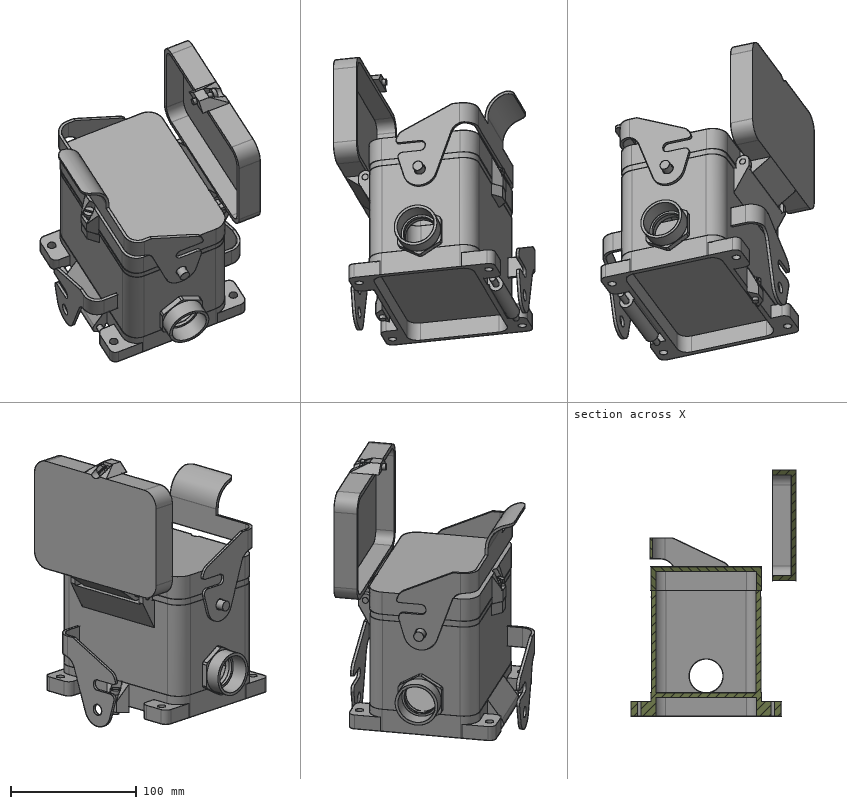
import cadquery as cq
import math

COVER_LENGTH = 133.3
SHELL_LENGTH = 133.5
COVER_WIDTH = 90.5
SHELL_WIDTH = 89.7
CORNER_RADIUS = 13.0
WALL = 4.0

FOOT_BOTTOM = 13.8
COVER_HEIGHT = 19.0
SHELL_BOTTOM = FOOT_BOTTOM + COVER_HEIGHT
RIM_Z = 114.5
LIP_HEIGHT = 5.0
LIP_INSET = 0.2
SHELL_TOP = RIM_Z - LIP_HEIGHT
LEVER_PIVOT_Z = 101.8

PIVOT_OUT = 7.2
PIVOT_DROP = 0.5
KNUCKLE_RADIUS = 5.7
KNUCKLE_CLEARANCE = 0.5
HINGE_PIN_DIAMETER = 5.0
HINGE_PIN_LENGTH = 78.8
LUG_LENGTH = 54.7
BRACKET_THICKNESS = 4.4
BRACKET_FOOT_Z = 86.2
PIVOT_Y = COVER_WIDTH / 2 + PIVOT_OUT
PIVOT_Z = RIM_Z - PIVOT_DROP
POCKET_Z = PIVOT_Z - KNUCKLE_RADIUS - KNUCKLE_CLEARANCE

BOSS_WIDTH = 24.5
BOSS_FACE_WIDTH = 10.0
BOSS_DEPTH = 7.2
BOSS_SLOPE_LENGTH = 14.9
SCREW_OUT = 2.6
SCREW_BORE_DIAMETER = 9.9
SCREW_BORE_DEPTH = 14.9
SCREW_HEAD_DIAMETER = 9.0
SCREW_HEAD_TOP = 6.5
SCREW_HEAD_HEIGHT = 3.3
SCREW_SHANK_DIAMETER = 4.4
SCREW_SLOT_ANGLE = 45
SCREW_SLOT_WIDTH = 1.3
SCREW_SLOT_DEPTH = 2.2
SCREW_TIP_DIAMETER = 5.0
SCREW_TIP_LENGTH = 3.0
CATCH_WIDTH = 26.3
CATCH_HEIGHT = 9.6

PAD_LENGTH = 27.1
PAD_INNER_Y = 33.5
PAD_REACH = 60.2
PAD_HEIGHT = 12.0
PAD_CORNER_RADIUS = 5.5
PAD_HOLE_DIAMETER = 6.5
PAD_HOLE_X = 55.4
PAD_HOLE_Y = 53.5

GLAND_Z = 46.2
GLAND_FLATS = 35.7
GLAND_CORNER_DIAMETER = 40.0
GLAND_FLANGE = 4.5
GLAND_TUBE_DIAMETER = 35.0
GLAND_BORE_DIAMETER = 30.5
GLAND_LEDGE = 2.8
ENTRY_DIAMETER = 27.0
GLAND_SPAN = 167.0

LEVER_SPAN = 138.5
LEVER_FRONT = 45.0
LEVER_THICKNESS = 2.5
LEVER_BEND_RADIUS = 12.3
LEVER_LOBE_RADIUS = 14.0
FRONT_TAPER = math.radians(19.5)
JAW_TAPER = math.radians(16.5)
LEVER_HOLE_DIAMETER = 9.0
LEVER_PIN_DIAMETER = 8.0
LEVER_PIN_SPAN = 152.0
LEVER_TOP = 54.7
CROSSBAR_BOTTOM = 37.9
SLOT_TOP = 25.2
SLOT_BOTTOM = 16.5
SLOT_DEPTH = 4.4
NOSE_TIP_OUT = 20.5
NOSE_OUT = 17.5
NOSE_HEIGHT = 33.7
SHOULDER = 26.7
CROSSBAR_FILLET = 11.8
NOSE_RADIUS = 9.9
NOSE_TIP_RADIUS = 2.2
JAW_RADIUS = 4.0
SLOT_RADIUS = 4.2
HANDLE_WIDTH = 50.3
HANDLE_RISE = 5.3
HANDLE_RADIUS = 20.0
HANDLE_CORNER_RADIUS = 7.0
LOWER_LEVER_Z = LEVER_LOBE_RADIUS


def rod_x(diameter, length, y=0.0, z=0.0):
    """Round bar along X, centred on X = 0."""
    return cq.Workplane("YZ", origin=(-length / 2, y, z)).circle(diameter / 2).extrude(length)


def rod_z(diameter, y, bottom, top):
    """Round bar along Z at X = 0."""
    return cq.Workplane("XY", origin=(0, y, bottom)).circle(diameter / 2).extrude(top - bottom)


def slab_x(points, length):
    """Closed (y, z) polygon made into a slab centred on X = 0."""
    return cq.Workplane("YZ", origin=(-length / 2, 0, 0)).polyline(points).close().extrude(length)


def rounded_block(length, width, radius, bottom, top):
    """Upright block with rounded vertical edges."""
    block = cq.Workplane("XY", origin=(0, 0, bottom)).rect(length, width).extrude(top - bottom)
    return block.edges("|Z").fillet(radius)


def inner_block(length, width, bottom, top):
    """Cavity one wall thickness inside a plan of the given size."""
    return rounded_block(length - 2 * WALL, width - 2 * WALL, CORNER_RADIUS - WALL, bottom, top)


def boss_prism(wall_y, width, bottom, top):
    """Upright boss on the -Y wall with slanted flanks."""
    outer_y = wall_y - BOSS_DEPTH
    inner_y = wall_y + WALL / 2
    points = [
        (-width / 2, inner_y), (-width / 2, wall_y), (-BOSS_FACE_WIDTH / 2, outer_y),
        (BOSS_FACE_WIDTH / 2, outer_y), (width / 2, wall_y), (width / 2, inner_y),
    ]
    return cq.Workplane("XY", origin=(0, 0, bottom)).polyline(points).close().extrude(top - bottom)


def hinge_lug():
    """Lug that tapers from the wall to the knuckle, with the hinge pin through it."""
    wall_y = COVER_WIDTH / 2
    reach = math.hypot(PIVOT_OUT, COVER_HEIGHT + PIVOT_DROP)
    tangent_angle = (
        math.atan2(COVER_HEIGHT + PIVOT_DROP, -PIVOT_OUT) - math.acos(KNUCKLE_RADIUS / reach)
    )
    tangent_point = (
        PIVOT_Y + KNUCKLE_RADIUS * math.cos(tangent_angle),
        -PIVOT_DROP + KNUCKLE_RADIUS * math.sin(tangent_angle),
    )
    web = slab_x(
        [
            (wall_y - WALL / 2, 0), (wall_y - WALL / 2, COVER_HEIGHT), (wall_y, COVER_HEIGHT),
            tangent_point, (PIVOT_Y, -PIVOT_DROP), (wall_y, 0),
        ],
        LUG_LENGTH,
    )
    knuckle = rod_x(2 * KNUCKLE_RADIUS, LUG_LENGTH, PIVOT_Y, -PIVOT_DROP)
    pin = rod_x(HINGE_PIN_DIAMETER, HINGE_PIN_LENGTH, PIVOT_Y, -PIVOT_DROP)
    return web.union(knuckle).union(pin)


def latch_boss():
    """Sloped boss, the open bore sunk into it, and a captive screw whose tip stands out below."""
    wall_y = -COVER_WIDTH / 2
    screw_y = wall_y - SCREW_OUT
    bore_bottom = COVER_HEIGHT - SCREW_BORE_DEPTH
    head_top = COVER_HEIGHT - SCREW_HEAD_TOP
    boss = boss_prism(wall_y, BOSS_WIDTH, -LIP_HEIGHT, COVER_HEIGHT)
    below_rim = cq.Workplane("XY").box(BOSS_WIDTH, WALL, LIP_HEIGHT).translate(
        (0, wall_y + WALL / 2, -LIP_HEIGHT / 2)
    )
    slope = slab_x(
        [
            (wall_y, COVER_HEIGHT), (wall_y - BOSS_DEPTH, COVER_HEIGHT - BOSS_SLOPE_LENGTH),
            (wall_y - BOSS_DEPTH, COVER_HEIGHT),
        ],
        BOSS_WIDTH,
    )
    bore = rod_z(SCREW_BORE_DIAMETER, screw_y, bore_bottom, COVER_HEIGHT)
    opening = cq.Workplane("XY").box(SCREW_BORE_DIAMETER, BOSS_DEPTH, SCREW_BORE_DEPTH).translate(
        (0, screw_y - BOSS_DEPTH / 2, COVER_HEIGHT - SCREW_BORE_DEPTH / 2)
    )
    bore = bore.union(opening)
    shank = rod_z(SCREW_SHANK_DIAMETER, screw_y, bore_bottom, head_top)
    head = rod_z(SCREW_HEAD_DIAMETER, screw_y, head_top - SCREW_HEAD_HEIGHT, head_top)
    tip = rod_z(SCREW_TIP_DIAMETER, screw_y, -LIP_HEIGHT - SCREW_TIP_LENGTH, -LIP_HEIGHT)
    slot = cq.Workplane("XY").box(2 * SCREW_HEAD_DIAMETER, SCREW_SLOT_WIDTH, 2 * SCREW_SLOT_DEPTH)
    slot = slot.rotate((0, 0, 0), (0, 0, 1), SCREW_SLOT_ANGLE).translate((0, screw_y, head_top))
    screw = shank.union(head).cut(slot).union(tip)
    return boss.cut(below_rim).cut(slope), bore, screw


def make_cover():
    shell = rounded_block(COVER_LENGTH, COVER_WIDTH, CORNER_RADIUS, 0, COVER_HEIGHT)
    boss, screw_bore, screw = latch_boss()
    cavity = inner_block(COVER_LENGTH, COVER_WIDTH, 0, COVER_HEIGHT - WALL)
    return shell.union(hinge_lug()).union(boss).cut(cavity).cut(screw_bore).union(screw)


def mounting_pads():
    pads = cq.Workplane("XY")
    for side_x in (-1, 1):
        for side_y in (-1, 1):
            pad = cq.Workplane("XY").box(PAD_LENGTH, PAD_REACH - PAD_INNER_Y, PAD_HEIGHT)
            pad = pad.translate((
                side_x * (COVER_LENGTH - PAD_LENGTH) / 2,
                side_y * (PAD_REACH + PAD_INNER_Y) / 2,
                FOOT_BOTTOM + PAD_HEIGHT / 2,
            ))
            outer_face = ">Y" if side_y > 0 else "<Y"
            pad = pad.faces(outer_face).edges("|Z").fillet(PAD_CORNER_RADIUS)
            pads = pads.add(pad)
    return pads.combine()


def pad_holes():
    spots = [(sx * PAD_HOLE_X, sy * PAD_HOLE_Y) for sx in (-1, 1) for sy in (-1, 1)]
    plane = cq.Workplane("XY", origin=(0, 0, FOOT_BOTTOM))
    return plane.pushPoints(spots).circle(PAD_HOLE_DIAMETER / 2).extrude(PAD_HEIGHT)


def hinge_brackets():
    """Wedge on the rear wall, pocketed for the lug, whose two ends carry the cover's hinge pin."""
    wall_y = SHELL_WIDTH / 2
    inner_y = PIVOT_Y - KNUCKLE_RADIUS
    outer_y = PIVOT_Y + KNUCKLE_RADIUS
    knuckle_top = PIVOT_Z + KNUCKLE_RADIUS
    profile = [
        (wall_y - WALL / 2, BRACKET_FOOT_Z), (wall_y, BRACKET_FOOT_Z), (outer_y, SHELL_TOP),
        (outer_y, PIVOT_Z), (inner_y, PIVOT_Z), (inner_y, SHELL_TOP), (wall_y - WALL / 2, SHELL_TOP),
    ]
    block = slab_x(profile, HINGE_PIN_LENGTH)
    block = block.union(rod_x(2 * KNUCKLE_RADIUS, HINGE_PIN_LENGTH, PIVOT_Y, PIVOT_Z))
    pocket = slab_x(
        [(inner_y, POCKET_Z), (outer_y, POCKET_Z), (outer_y, knuckle_top), (inner_y, knuckle_top)],
        HINGE_PIN_LENGTH - 2 * BRACKET_THICKNESS,
    )
    pin_hole = rod_x(HINGE_PIN_DIAMETER, HINGE_PIN_LENGTH, PIVOT_Y, PIVOT_Z)
    return block.cut(pocket).cut(pin_hole)


def screw_catch():
    """Boss on the front wall with a blind hole for the closed cover's screw tip."""
    wall_y = -SHELL_WIDTH / 2
    screw_y = -COVER_WIDTH / 2 - SCREW_OUT
    boss = boss_prism(wall_y, CATCH_WIDTH, SHELL_TOP - CATCH_HEIGHT, SHELL_TOP)
    hole = rod_z(SCREW_TIP_DIAMETER, screw_y, SHELL_TOP - SCREW_TIP_LENGTH, SHELL_TOP)
    return boss, hole


def make_housing(lower_lever):
    foot = make_cover().rotate((0, 0, 0), (0, 0, 1), 180).translate((0, 0, FOOT_BOTTOM))
    cavity = inner_block(COVER_LENGTH, COVER_WIDTH, FOOT_BOTTOM, SHELL_BOTTOM - WALL)
    foot = foot.union(mounting_pads().cut(cavity).cut(pad_holes()))
    shell = rounded_block(SHELL_LENGTH, SHELL_WIDTH, CORNER_RADIUS, SHELL_BOTTOM, SHELL_TOP)
    lip = rounded_block(
        SHELL_LENGTH - 2 * LIP_INSET, SHELL_WIDTH - 2 * LIP_INSET, CORNER_RADIUS, SHELL_TOP, RIM_Z
    )
    catch, catch_hole = screw_catch()
    pins = rod_x(LEVER_PIN_DIAMETER, LEVER_PIN_SPAN, 0, LEVER_PIVOT_Z)
    housing = shell.union(lip).union(hinge_brackets()).union(catch).union(pins)
    housing = housing.cut(inner_block(SHELL_LENGTH, SHELL_WIDTH, SHELL_BOTTOM, RIM_Z)).cut(catch_hole)
    housing = housing.cut(rod_x(ENTRY_DIAMETER, SHELL_LENGTH, 0, GLAND_Z))
    return housing.union(foot).cut(lower_lever)


def make_gland(side):
    wall_x = SHELL_LENGTH / 2
    reach = GLAND_SPAN / 2 - wall_x
    plane = cq.Workplane("YZ", origin=(wall_x, 0, GLAND_Z))
    across_corners = GLAND_FLATS / math.cos(math.pi / 6)
    hexagon = plane.transformed(rotate=(0, 0, 90)).polygon(6, across_corners).extrude(GLAND_FLANGE)
    flange = hexagon.intersect(plane.circle(GLAND_CORNER_DIAMETER / 2).extrude(GLAND_FLANGE))
    tube = plane.circle(GLAND_TUBE_DIAMETER / 2).extrude(reach)
    passage = plane.circle(ENTRY_DIAMETER / 2).extrude(GLAND_FLANGE)
    bore = plane.workplane(offset=GLAND_LEDGE).circle(GLAND_BORE_DIAMETER / 2).extrude(reach)
    gland = flange.union(tube).cut(passage).cut(bore)
    return gland if side > 0 else gland.mirror("YZ")


def rounded_outline(plane, corners):
    """Closed outline through (u, v, radius) corners, each rounded by a tangent arc."""
    outline = None
    for i, (u, v, radius) in enumerate(corners):
        before = corners[i - 1]
        after = corners[(i + 1) % len(corners)]
        in_angle = math.atan2(before[1] - v, before[0] - u)
        out_angle = math.atan2(after[1] - v, after[0] - u)
        half = abs(math.remainder(out_angle - in_angle, 2 * math.pi)) / 2
        middle = in_angle + math.remainder(out_angle - in_angle, 2 * math.pi) / 2
        run = radius / math.tan(half)
        rise = radius / math.sin(half) - radius
        start = (u + run * math.cos(in_angle), v + run * math.sin(in_angle))
        top = (u + rise * math.cos(middle), v + rise * math.sin(middle))
        end = (u + run * math.cos(out_angle), v + run * math.sin(out_angle))
        outline = plane.moveTo(*start) if outline is None else outline.lineTo(*start)
        if radius > 0:
            outline = outline.threePointArc(top, end)
    return outline.close()


def lever_profile():
    """Side plate seen along X, spanning the full lever width; -Y is the crossbar end."""
    tilt = (FRONT_TAPER - JAW_TAPER) / 2
    apex_distance = LEVER_LOBE_RADIUS / math.sin((FRONT_TAPER + JAW_TAPER) / 2)
    apex_y = apex_distance * math.sin(tilt)
    apex_z = -apex_distance * math.cos(tilt)
    jaw_y = apex_y + (SLOT_BOTTOM - apex_z) * math.tan(JAW_TAPER)
    bar_y = apex_y - (CROSSBAR_BOTTOM - apex_z) * math.tan(FRONT_TAPER)
    corners = [
        (apex_y, apex_z, LEVER_LOBE_RADIUS),
        (jaw_y, SLOT_BOTTOM, JAW_RADIUS),
        (-SLOT_DEPTH, SLOT_BOTTOM, SLOT_RADIUS),
        (-SLOT_DEPTH, SLOT_TOP, SLOT_RADIUS),
        (NOSE_TIP_OUT, SLOT_TOP, NOSE_TIP_RADIUS),
        (NOSE_OUT, NOSE_HEIGHT, NOSE_RADIUS),
        (-SHOULDER, LEVER_TOP, 0),
        (-LEVER_FRONT, LEVER_TOP, 0),
        (-LEVER_FRONT, CROSSBAR_BOTTOM, 0),
        (bar_y, CROSSBAR_BOTTOM, CROSSBAR_FILLET),
    ]
    plane = cq.Workplane("YZ", origin=(-LEVER_SPAN / 2, 0, 0))
    return rounded_outline(plane, corners).extrude(LEVER_SPAN)


def make_lever():
    """U-shaped sheet-metal lever: two side plates joined by a crossbar."""
    length = 2 * LEVER_FRONT
    bottom = -LEVER_LOBE_RADIUS
    outer = rounded_block(LEVER_SPAN, length, LEVER_BEND_RADIUS, bottom, LEVER_TOP)
    inner = rounded_block(
        LEVER_SPAN - 2 * LEVER_THICKNESS, length, LEVER_BEND_RADIUS - LEVER_THICKNESS, bottom, LEVER_TOP
    ).translate((0, LEVER_THICKNESS, 0))
    hole = rod_x(LEVER_HOLE_DIAMETER, LEVER_SPAN)
    return lever_profile().intersect(outer.cut(inner)).cut(hole)


def lever_handle():
    """Tab that rises from the crossbar and curls outwards."""
    inner_y = -LEVER_FRONT + LEVER_THICKNESS
    curl_z = LEVER_TOP + HANDLE_RISE
    end_y = -LEVER_FRONT - HANDLE_RADIUS
    outer_radius = HANDLE_RADIUS + LEVER_THICKNESS
    diagonal = math.sqrt(0.5)
    handle = (
        cq.Workplane("YZ", origin=(-HANDLE_WIDTH / 2, 0, 0))
        .moveTo(inner_y, LEVER_TOP)
        .lineTo(inner_y, curl_z)
        .threePointArc(
            (end_y + outer_radius * diagonal, curl_z + outer_radius * diagonal),
            (end_y, curl_z + outer_radius),
        )
        .lineTo(end_y, curl_z + HANDLE_RADIUS)
        .threePointArc(
            (end_y + HANDLE_RADIUS * diagonal, curl_z + HANDLE_RADIUS * diagonal),
            (-LEVER_FRONT, curl_z),
        )
        .lineTo(-LEVER_FRONT, LEVER_TOP)
        .close()
        .extrude(HANDLE_WIDTH)
    )
    return handle.faces("<Y").edges("|Z").fillet(HANDLE_CORNER_RADIUS)


upper_lever = make_lever().union(lever_handle()).translate((0, 0, LEVER_PIVOT_Z))
lower_lever = make_lever().rotate((0, 0, 0), (0, 0, 1), 90).translate((0, 0, LOWER_LEVER_Z))

housing = make_housing(lower_lever)
glands = [make_gland(side) for side in (-1, 1)]

cover = make_cover().translate((0, 0, RIM_Z))
hinge_axis = ((0, PIVOT_Y, PIVOT_Z), (1, PIVOT_Y, PIVOT_Z))
open_cover = cover.rotate(*hinge_axis, -90)
closed_cover = cover.cut(open_cover).cut(hinge_brackets())

result = cq.Compound.makeCompound([
    housing.val(),
    closed_cover.val(),
    open_cover.val(),
    upper_lever.val(),
    lower_lever.val(),
    *[gland.val() for gland in glands],
])